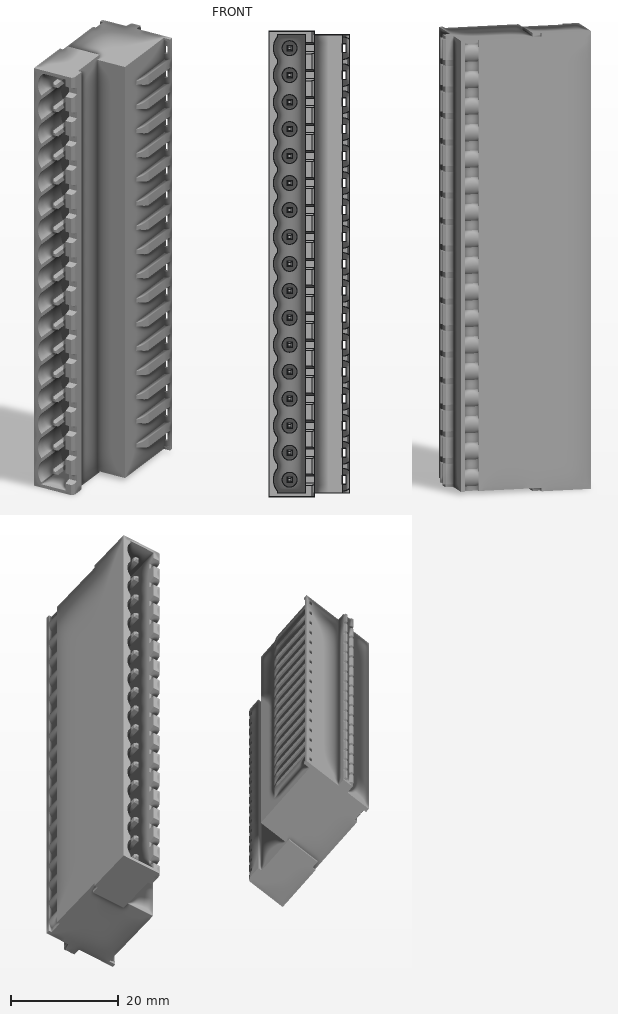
import cadquery as cq


pole_count = 17
pitch = 5.0
plug_length = pole_count * pitch
pole_heights = [(i - (pole_count - 1) / 2) * pitch for i in range(pole_count)]

total_width = 15.0
total_depth = 26.99
total_length = 86.32

socket_width = 7.65
socket_depth = 11.0
corner_step_width = 0.75
corner_step_depth = 1.5
lip_width = 8.45
lip_depth = 3.1
lip_round_width = 0.45
lip_round_depth = 0.8

cavity_depth = 8.5
cavity_right = 6.8
scallop_bottom = 0.85
scallop_crest = 1.6
crest_width = 0.8

notch_depth = 1.3
notch_mouth = 2.1
notch_floor = 1.3

pin_x = 3.85
pin_side = 1.0
pin_tip_side = 0.5
pin_tip_length = 0.5
pin_start = 1.0
pin_recess_diameter = 2.75
pin_recess_depth = 0.5

body_width = 13.65
body_start = 10.1
body_end = 25.0

groove_start = 21.6
groove_end = 24.2
groove_depth = 0.6
pad_height = 3.2

comb_plate_thickness = 0.75
comb_taper_start = 14.1
comb_taper_middle = 15.3
comb_taper_end = 16.3
comb_middle_inset = 0.3
channel_x = body_width
channel_radius = 2.1
channel_plate_recess = 0.25
window_width = 0.65
window_height = 1.6

bar_left = 5.0
bar_right = 7.33
bar_end = 26.5
bar_foot_inset = 0.1
bar_top_inset = 0.4
tab_height = 3.85
ear_width = 0.7
ear_tip_width = 0.35
left_ear_start = 26.45
left_ear_slope = 0.38
right_ear_slope = 0.15


def box(x_range, y_range, z_range):
    """Axis-aligned box from its low and high limits along X, Y and Z."""
    size = [high - low for low, high in (x_range, y_range, z_range)]
    low_corner = (x_range[0], y_range[0], z_range[0])
    return cq.Workplane("XY").box(*size, centered=False).translate(low_corner)


def along_z(points, height, z_middle=0.0):
    """Prism with an XY outline, centred on z_middle."""
    outline = cq.Workplane("XY").polyline(points).close()
    return outline.extrude(height / 2, both=True).translate((0, 0, z_middle))


def across_y(y_position):
    """Workplane with local axes +X and -Z whose extrusions run toward +Y."""
    return cq.Workplane(cq.Plane((0, y_position, 0), xDir=(1, 0, 0), normal=(0, 1, 0)))


def around(z_middle, height):
    return (z_middle - height / 2, z_middle + height / 2)


def socket_housing():
    """Housing whose lip ends in an arc tangent to the lip's +X face."""
    step_start = socket_depth - corner_step_depth
    lip_radius = (lip_round_width**2 + lip_round_depth**2) / (2 * lip_round_width)
    outline = (
        cq.Workplane("XY")
        .lineTo(lip_width - lip_round_width, 0)
        .radiusArc((lip_width, lip_round_depth), -lip_radius)
        .lineTo(lip_width, lip_depth)
        .lineTo(socket_width, lip_depth)
        .lineTo(socket_width, socket_depth)
        .lineTo(corner_step_width, socket_depth)
        .lineTo(corner_step_width, step_start)
        .lineTo(0, step_start)
        .close()
    )
    return outline.extrude(total_length / 2, both=True)


def plug_body():
    body = box((0, body_width), (body_start, body_end), around(0, plug_length))
    seam_start = socket_depth - corner_step_depth
    edge_strip = box((0, socket_width), (seam_start, body_end), around(0, plug_length))
    return body.union(edge_strip)


def cavity():
    """Scalloped pocket, symmetric about Z = 0."""
    half_length = plug_length / 2
    half_scallop = (pitch - crest_width) / 2
    outline = across_y(0).moveTo(cavity_right, -half_length).lineTo(scallop_crest, -half_length)
    for z in pole_heights:
        outline = outline.lineTo(scallop_crest, z - half_scallop)
        outline = outline.threePointArc((scallop_bottom, z), (scallop_crest, z + half_scallop))
    outline = outline.lineTo(scallop_crest, half_length).lineTo(cavity_right, half_length)
    return outline.close().extrude(cavity_depth)


def lip_notch(z):
    points = [
        (0, z - notch_mouth / 2),
        (notch_depth, z - notch_floor / 2),
        (notch_depth, z + notch_floor / 2),
        (0, z + notch_mouth / 2),
    ]
    outline = cq.Workplane("YZ").workplane(offset=cavity_right).polyline(points).close()
    return outline.extrude(lip_width - cavity_right)


def contact_pin(z):
    recess_end = cavity_depth + pin_recess_depth
    shaft_start = pin_start + pin_tip_length
    shaft = box(around(pin_x, pin_side), (shaft_start, recess_end), around(z, pin_side))
    tip = (
        across_y(pin_start)
        .center(pin_x, -z)
        .rect(pin_tip_side, pin_tip_side)
        .workplane(offset=pin_tip_length)
        .rect(pin_side, pin_side)
        .loft()
    )
    return shaft.union(tip)


def pin_recess(z):
    return across_y(cavity_depth).center(pin_x, -z).circle(pin_recess_diameter / 2).extrude(pin_recess_depth)


def marking_groove():
    return box((0, groove_depth), (groove_start, groove_end), around(0, plug_length))


def marking_pad(z):
    outline = cq.Workplane("XZ", origin=(0, groove_end, 0)).moveTo(groove_depth, z - pad_height / 2)
    outline = outline.threePointArc((0, z), (groove_depth, z + pad_height / 2)).close()
    return outline.extrude(groove_end - groove_start)


def wire_comb():
    """Ribs between round wire channels, closed at +Y by a plate with one window per pole.

    The outermost channels are open toward the ends of the plug.
    """
    plate_start = body_end - comb_plate_thickness
    ribs = along_z(
        [
            (body_width, comb_taper_start),
            (total_width - comb_middle_inset, comb_taper_middle),
            (total_width, comb_taper_end),
            (total_width, body_end),
            (body_width, body_end),
        ],
        plug_length - pitch,
    )
    plate = box((body_width, total_width), (plate_start, body_end), around(0, plug_length))
    channels = (
        across_y(comb_taper_start)
        .pushPoints([(channel_x, z) for z in pole_heights])
        .circle(channel_radius)
        .extrude(plate_start + channel_plate_recess - comb_taper_start)
    )
    windows = (
        across_y(plate_start)
        .pushPoints([(body_width + window_width / 2, z) for z in pole_heights])
        .rect(window_width, window_height)
        .extrude(comb_plate_thickness)
    )
    return ribs.union(plate).cut(channels).cut(windows)


def latch_bar():
    """Bar whose -X face leans inward toward +Y."""
    return along_z(
        [
            (bar_left + bar_foot_inset, body_end),
            (bar_right, body_end),
            (bar_right, bar_end),
            (bar_left + bar_top_inset, bar_end),
        ],
        plug_length,
    )


def latch_tab(z):
    """Tab with a blunt ear along each side."""
    return along_z(
        [
            (bar_left, body_end),
            (bar_right, body_end),
            (bar_right, bar_end),
            (bar_right - right_ear_slope, total_depth),
            (bar_right - right_ear_slope - ear_tip_width, total_depth),
            (bar_right - ear_width, bar_end),
            (bar_left + left_ear_slope + ear_width, bar_end),
            (bar_left + left_ear_slope + ear_tip_width, total_depth),
            (bar_left + left_ear_slope, total_depth),
            (bar_left, left_ear_start),
        ],
        tab_height,
        z,
    )


def at_each_pole(feature):
    """Compound of one feature per pole, for a single boolean operation."""
    return cq.Workplane(cq.Compound.makeCompound([feature(z).val() for z in pole_heights]))


housing = socket_housing().union(plug_body())
housing = housing.cut(cavity()).cut(marking_groove())
housing = housing.cut(at_each_pole(lip_notch)).cut(at_each_pole(pin_recess))
housing = housing.union(wire_comb()).union(latch_bar())
result = (
    housing.union(at_each_pole(contact_pin))
    .union(at_each_pole(marking_pad))
    .union(at_each_pole(latch_tab))
)